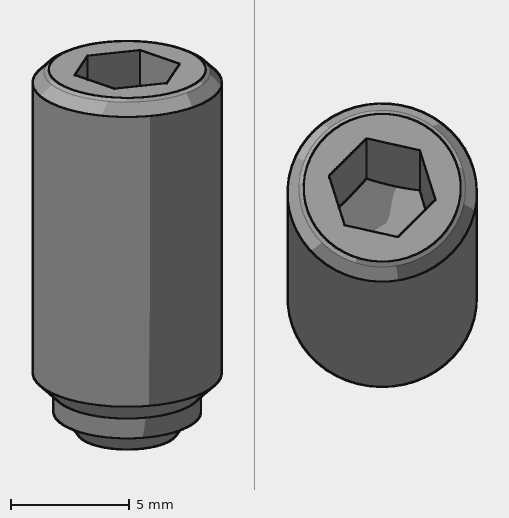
import cadquery as cq
import math


BALL_RADIUS = 2.75
FLAT_CUT = 1.0
BALL_CENTER_Z = BALL_RADIUS - FLAT_CUT
BALL_PROTRUSION = 0.9

SHANK_RADIUS = 4.0
SCREW_LENGTH = 15.5
NOSE_RADIUS = 3.125
NOSE_HEIGHT = 0.9
NOSE_CHAMFER = SHANK_RADIUS - NOSE_RADIUS

TOP_CHAMFER_HEIGHT = 0.6
BEVEL_WIDTH = 0.2
BEVEL_ANGLE = 30.0
BEVEL_HEIGHT = BEVEL_WIDTH * math.tan(math.radians(BEVEL_ANGLE))

HEX_ACROSS_FLATS = 4.0
HEX_ACROSS_CORNERS = HEX_ACROSS_FLATS / math.cos(math.radians(30))
HEX_DEPTH = 5.0
DRILL_POINT_ANGLE = 120.0

SCREW_BOTTOM = BALL_PROTRUSION
NOSE_TOP = SCREW_BOTTOM + NOSE_HEIGHT
SHANK_BOTTOM = NOSE_TOP + NOSE_CHAMFER
SCREW_TOP = SCREW_BOTTOM + SCREW_LENGTH
SHANK_TOP = SCREW_TOP - TOP_CHAMFER_HEIGHT


def full_ball():
    """Complete sphere, used for the ball and for its seat in the screw."""
    return cq.Workplane("XY").sphere(BALL_RADIUS).translate((0, 0, BALL_CENTER_Z))


def make_ball():
    """Ball with a flat at its lower end."""
    size = 2 * BALL_RADIUS
    kept_space = cq.Workplane("XY").box(size, size, size, centered=(True, True, False))
    return full_ball().intersect(kept_space).solids()


def screw_blank():
    """Turned screw body, revolved about Z from its half section."""
    bevel_bottom = SCREW_TOP - BEVEL_HEIGHT
    bevel_radius = SHANK_RADIUS - (bevel_bottom - SHANK_TOP)
    end_face_radius = bevel_radius - BEVEL_WIDTH
    return (
        cq.Workplane("XZ")
        .moveTo(0, SCREW_BOTTOM)
        .lineTo(NOSE_RADIUS, SCREW_BOTTOM)
        .lineTo(NOSE_RADIUS, NOSE_TOP)
        .lineTo(SHANK_RADIUS, SHANK_BOTTOM)
        .lineTo(SHANK_RADIUS, SHANK_TOP)
        .lineTo(bevel_radius, bevel_bottom)
        .lineTo(end_face_radius, SCREW_TOP)
        .lineTo(0, SCREW_TOP)
        .close()
        .revolve(360, (0, 0, 0), (0, 1, 0))
    )


def hex_socket():
    """Hexagon with corners on the X axis, its floor a cone through those corners."""
    cone_radius = HEX_ACROSS_CORNERS / 2
    cone_height = cone_radius / math.tan(math.radians(DRILL_POINT_ANGLE / 2))
    floor_z = SCREW_TOP - HEX_DEPTH
    tip_z = floor_z - cone_height
    hexagon = (
        cq.Workplane("XY", origin=(0, 0, tip_z))
        .polygon(6, HEX_ACROSS_CORNERS)
        .extrude(SCREW_TOP - tip_z)
    )
    drilled_space = (
        cq.Workplane("XZ")
        .moveTo(0, tip_z)
        .lineTo(cone_radius, floor_z)
        .lineTo(cone_radius, SCREW_TOP)
        .lineTo(0, SCREW_TOP)
        .close()
        .revolve(360, (0, 0, 0), (0, 1, 0))
    )
    return hexagon.intersect(drilled_space)


def make_screw():
    """Set screw with its hexagon socket and ball seat."""
    return screw_blank().cut(hex_socket()).cut(full_ball()).solids()


screw = make_screw()
ball = make_ball()

result = cq.Compound.makeCompound([screw.val(), ball.val()])